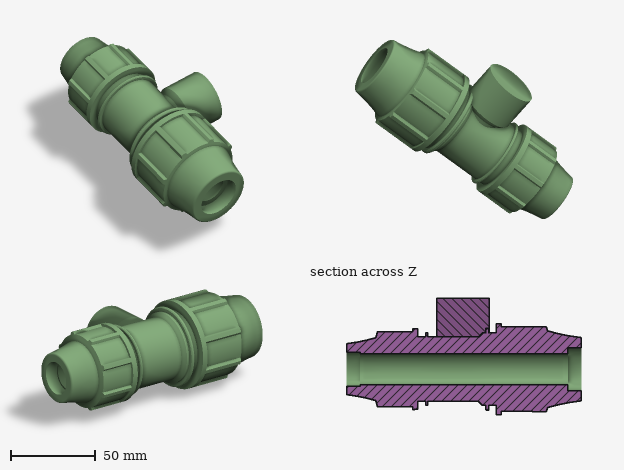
import cadquery as cq
import math

TOTAL_LENGTH = 139.0
RUN_DIAMETER = 38.4
WIDE_RUN_DIAMETER = 43.2
WIDE_RUN_START = 78.1
BORE_DIAMETER = 18.0
SMALL_SOCKET_DIAMETER = 20.0
LARGE_SOCKET_DIAMETER = 25.0
SOCKET_DEPTH = 8.0

SMALL_RING_DIAMETER = WIDE_RUN_DIAMETER
SMALL_RING_START = 46.7
SMALL_RING_WIDTH = 1.7
LARGE_RING_DIAMETER = 48.6
LARGE_RING_START = 82.1
LARGE_RING_WIDTH = 2.2
RING_CHAMFER = 0.5

RIB_COUNT = 8
TIP_FILLET = 1.1
FLANGE_WIDTH = 3.3
SHOULDER_SLOPE = 0.3
RIB_OVERLAP = 1.4

SMALL_NUT_LENGTH = 42.4
SMALL_SHOULDER_START = 17.2
SMALL_TIP_DIAMETER = 30.7
SMALL_SHOULDER_DIAMETER = 37.4
SMALL_GRIP_DIAMETER = 44.8
SMALL_FLANGE_DIAMETER = 48.0
SMALL_TAPER_SAG = 0.35
SMALL_RIB_TOP_WIDTH = 2.4
SMALL_RIB_ROOT_WIDTH = 3.8

LARGE_NUT_LENGTH = 50.6
LARGE_SHOULDER_START = 20.0
LARGE_TIP_DIAMETER = 38.0
LARGE_SHOULDER_DIAMETER = 45.6
LARGE_GRIP_DIAMETER = 50.3
LARGE_FLANGE_DIAMETER = 54.0
LARGE_TAPER_SAG = 0.4
LARGE_RIB_TOP_WIDTH = 2.6
LARGE_RIB_ROOT_WIDTH = 4.5

BRANCH_X = 69.0
BRANCH_END = 42.0
COLLAR_DIAMETER = 31.4
COLLAR_START = 19.9
NECK_DIAMETER = 25.3
NECK_START = RUN_DIAMETER / 4


def cylinder(start, length, diameter):
    """Cylinder on the X axis."""
    return cq.Workplane("YZ", origin=(start, 0, 0)).circle(diameter / 2).extrude(length)


def ring(start, width, diameter):
    """Thin disc on the X axis with both rims chamfered."""
    return cylinder(start, width, diameter).edges().chamfer(RING_CHAMFER)


def nut_blank(length, shoulder_start, tip_diameter, shoulder_diameter, flange_diameter, taper_sag):
    """Round nut body: concave taper, conical shoulder and plain outside."""
    tip_radius = tip_diameter / 2
    shoulder_radius = shoulder_diameter / 2
    flange_radius = flange_diameter / 2
    shoulder_end = shoulder_start + SHOULDER_SLOPE * (flange_radius - shoulder_radius)
    fillet_inset = TIP_FILLET * (1 - math.sqrt(0.5))
    taper_middle = (
        (TIP_FILLET + shoulder_start) / 2,
        (tip_radius + shoulder_radius) / 2 - taper_sag,
    )
    return (
        cq.Workplane("XY")
        .lineTo(0, tip_radius - TIP_FILLET)
        .threePointArc((fillet_inset, tip_radius - fillet_inset), (TIP_FILLET, tip_radius))
        .threePointArc(taper_middle, (shoulder_start, shoulder_radius))
        .lineTo(shoulder_end, flange_radius)
        .lineTo(length, flange_radius)
        .lineTo(length, 0)
        .close()
        .revolve(360, (0, 0, 0), (1, 0, 0))
    )


def grip_recess(start, end, grip_diameter, flange_diameter, rib_top_width, rib_root_width):
    """Material to remove around the grip, leaving tapered ribs flush with the flange."""
    grip_radius = grip_diameter / 2
    flange_radius = flange_diameter / 2
    sleeve = (
        cq.Workplane("YZ", origin=(start, 0, 0))
        .circle(flange_radius)
        .circle(grip_radius)
        .extrude(end - start)
    )
    flank_slope = (rib_root_width - rib_top_width) / 2 / (flange_radius - grip_radius)
    inner_radius = grip_radius - RIB_OVERLAP
    outer_radius = flange_radius + RIB_OVERLAP
    inner_half = rib_root_width / 2 + flank_slope * (grip_radius - inner_radius)
    outer_half = rib_top_width / 2 - flank_slope * (outer_radius - flange_radius)
    rib_cutter = (
        cq.Workplane("YZ", origin=(start, 0, 0))
        .polyline([
            (-inner_half, inner_radius),
            (inner_half, inner_radius),
            (outer_half, outer_radius),
            (-outer_half, outer_radius),
        ])
        .close()
        .extrude(end - start)
    )
    pitch = 360 / RIB_COUNT
    for index in range(RIB_COUNT):
        sleeve = sleeve.cut(rib_cutter.rotate((0, 0, 0), (1, 0, 0), (index + 0.5) * pitch))
    return sleeve


def small_nut():
    """Ribbed nut at the -X end."""
    blank = nut_blank(
        SMALL_NUT_LENGTH, SMALL_SHOULDER_START, SMALL_TIP_DIAMETER,
        SMALL_SHOULDER_DIAMETER, SMALL_FLANGE_DIAMETER, SMALL_TAPER_SAG,
    )
    recess = grip_recess(
        SMALL_SHOULDER_START, SMALL_NUT_LENGTH - FLANGE_WIDTH, SMALL_GRIP_DIAMETER,
        SMALL_FLANGE_DIAMETER, SMALL_RIB_TOP_WIDTH, SMALL_RIB_ROOT_WIDTH,
    )
    return blank.cut(recess)


def large_nut():
    """Ribbed nut at the +X end, its tip pointing to +X."""
    blank = nut_blank(
        LARGE_NUT_LENGTH, LARGE_SHOULDER_START, LARGE_TIP_DIAMETER,
        LARGE_SHOULDER_DIAMETER, LARGE_FLANGE_DIAMETER, LARGE_TAPER_SAG,
    )
    recess = grip_recess(
        LARGE_SHOULDER_START, LARGE_NUT_LENGTH - FLANGE_WIDTH, LARGE_GRIP_DIAMETER,
        LARGE_FLANGE_DIAMETER, LARGE_RIB_TOP_WIDTH, LARGE_RIB_ROOT_WIDTH,
    )
    return blank.cut(recess).rotate((0, 0, 0), (0, 0, 1), 180).translate((TOTAL_LENGTH, 0, 0))


def run_pipe():
    """Pipe between the nuts, with its wider stretch and two rings."""
    pipe_end = TOTAL_LENGTH - LARGE_NUT_LENGTH
    step = (WIDE_RUN_DIAMETER - RUN_DIAMETER) / 2
    wide_stretch = cylinder(WIDE_RUN_START, pipe_end - WIDE_RUN_START, WIDE_RUN_DIAMETER)
    return (
        cylinder(SMALL_NUT_LENGTH, pipe_end - SMALL_NUT_LENGTH, RUN_DIAMETER)
        .union(wide_stretch.faces("<X").chamfer(step))
        .union(ring(SMALL_RING_START, SMALL_RING_WIDTH, SMALL_RING_DIAMETER))
        .union(ring(LARGE_RING_START, LARGE_RING_WIDTH, LARGE_RING_DIAMETER))
    )


def run_bore():
    """Through bore with a wider pipe socket at each end."""
    large_socket_start = TOTAL_LENGTH - SOCKET_DEPTH
    return (
        cylinder(0, TOTAL_LENGTH, BORE_DIAMETER)
        .union(cylinder(0, SOCKET_DEPTH, SMALL_SOCKET_DIAMETER))
        .union(cylinder(large_socket_start, SOCKET_DEPTH, LARGE_SOCKET_DIAMETER))
    )


def branch_blank():
    """Branch turned about its own axis, reaching below the surface of the run."""
    neck_radius = NECK_DIAMETER / 2
    collar_radius = COLLAR_DIAMETER / 2
    neck_end = COLLAR_START - (collar_radius - neck_radius)
    return (
        cq.Workplane("XY")
        .polyline([
            (0, NECK_START),
            (neck_radius, NECK_START),
            (neck_radius, neck_end),
            (collar_radius, COLLAR_START),
            (collar_radius, BRANCH_END),
            (0, BRANCH_END),
        ])
        .close()
        .revolve(360, (0, 0, 0), (0, 1, 0))
        .translate((BRANCH_X, 0, 0))
    )


run_outside = run_pipe().union(small_nut()).union(large_nut())
run = run_outside.cut(run_bore())

branch = branch_blank().cut(run_outside)

result = cq.Compound.makeCompound([run.solids().val(), branch.solids().val()])